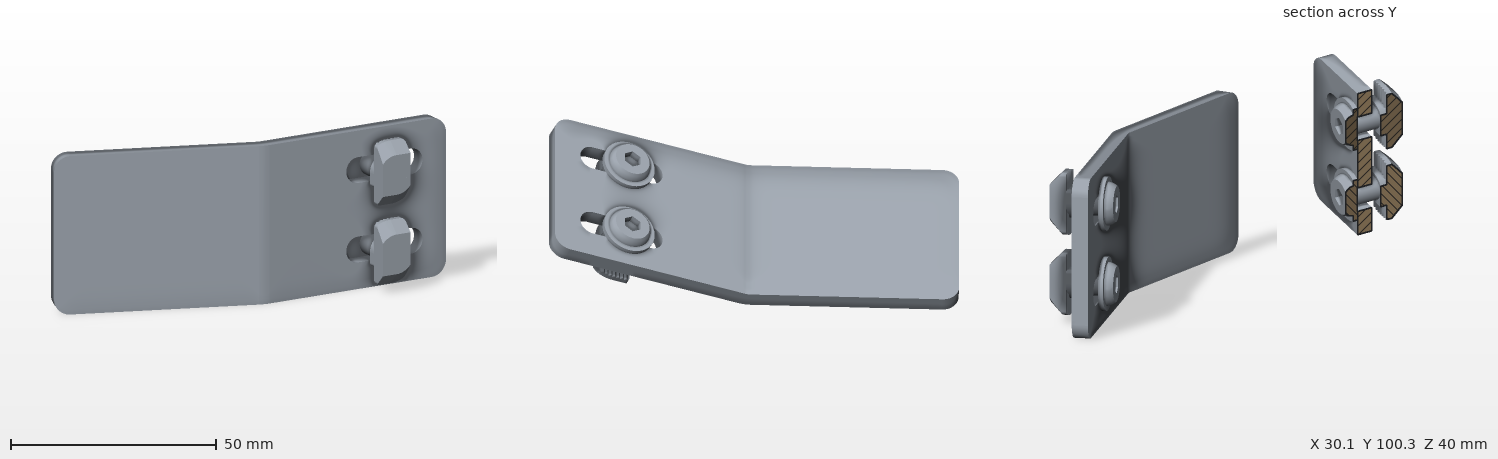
import cadquery as cq
import math


overall_length = 100.3
plate_height = 40.0
plate_thickness = 4.0
plate_corner_radius = 4.0
mounting_leg_length = 49.9
bend_angle = 20.0
bend_inner_radius = 4.0
bend_outer_radius = bend_inner_radius + plate_thickness
bend_sine = math.sin(math.radians(bend_angle))
bend_cosine = math.cos(math.radians(bend_angle))
slanted_leg_length = (overall_length - mounting_leg_length - bend_outer_radius * bend_sine) / bend_cosine

slot_width = 6.5
slot_travel = 15.0
slot_end_distance = 17.4
slot_y = mounting_leg_length - slot_end_distance

screw_spacing = 20.1
screw_heights = [-screw_spacing / 2, screw_spacing / 2]
screw_end_distance = 19.1
screw_y = mounting_leg_length - screw_end_distance

shank_diameter = 6.0
flange_diameter = 13.2
flange_thickness = 1.2
head_height = 3.3
dome_base_diameter = 10.7
dome_middle_diameter = 10.2
dome_top_diameter = 8.8
socket_width = 4.0
socket_depth = 2.0

nut_front = 6.4
nut_back = 12.5
wing_front = 7.9
nut_half_width = 3.9
wing_half_length = 8.0
neck_turning_radius = 4.2
wing_chamfer = 3.0
nut_edge_radius = 0.9
tooth_count = 7
tooth_pitch = 1.0
tooth_depth = 0.5


def bend_point(radius, angle):
    """Point in XY on the bend, at an angle turned from the mounting leg."""
    turn = math.radians(angle)
    return (radius * math.cos(turn) - bend_inner_radius, -radius * math.sin(turn))


def slanted_end_point(radius):
    """Point in XY where the face that follows this bend radius ends on the slanted leg."""
    x, y = bend_point(radius, bend_angle)
    return (x - slanted_leg_length * bend_sine, y - slanted_leg_length * bend_cosine)


def make_plate():
    plate = (
        cq.Workplane("XY", origin=(0, 0, -plate_height / 2))
        .moveTo(0, mounting_leg_length)
        .lineTo(0, 0)
        .threePointArc(
            bend_point(bend_inner_radius, bend_angle / 2), bend_point(bend_inner_radius, bend_angle)
        )
        .lineTo(*slanted_end_point(bend_inner_radius))
        .lineTo(*slanted_end_point(bend_outer_radius))
        .lineTo(*bend_point(bend_outer_radius, bend_angle))
        .threePointArc(bend_point(bend_outer_radius, bend_angle / 2), (plate_thickness, 0))
        .lineTo(plate_thickness, mounting_leg_length)
        .close()
        .extrude(plate_height)
    )
    slanted_direction = cq.Vector(-bend_sine, -bend_cosine, 0)
    slanted_end = plate.faces(cq.selectors.DirectionMinMaxSelector(slanted_direction))
    corner_edges = plate.faces(">Y").edges("|X").add(slanted_end.edges(">Z or <Z"))
    plate = plate.newObject(corner_edges.vals()).fillet(plate_corner_radius)
    slots = (
        cq.Workplane("YZ")
        .pushPoints([(slot_y, height) for height in screw_heights])
        .slot2D(slot_travel + slot_width, slot_width)
        .extrude(plate_thickness)
    )
    return plate.cut(slots)


def make_screw(height):
    """Screw along X, its flange resting on the front of the plate and its tip flush with the nut."""
    body = (
        cq.Workplane("XY")
        .moveTo(-head_height, 0)
        .lineTo(-head_height, dome_top_diameter / 2)
        .threePointArc(
            (-(head_height + flange_thickness) / 2, dome_middle_diameter / 2),
            (-flange_thickness, dome_base_diameter / 2),
        )
        .lineTo(-flange_thickness, flange_diameter / 2)
        .lineTo(0, flange_diameter / 2)
        .lineTo(0, shank_diameter / 2)
        .lineTo(nut_back, shank_diameter / 2)
        .lineTo(nut_back, 0)
        .close()
        .revolve(360, (0, 0, 0), (1, 0, 0))
    )
    socket = (
        cq.Workplane("YZ", origin=(-head_height, 0, 0))
        .polygon(6, socket_width, circumscribed=True)
        .extrude(socket_depth)
    )
    return body.cut(socket).translate((0, screw_y, height))


def wing_block():
    """Bar along Z with two opposite corners rounded about the screw axis and softened edges."""
    flat_end = math.sqrt(wing_half_length**2 - nut_half_width**2)
    middle_angle = (math.pi / 2 + math.atan2(flat_end, nut_half_width)) / 2
    arc_y = wing_half_length * math.cos(middle_angle)
    arc_z = wing_half_length * math.sin(middle_angle)
    block = (
        cq.Workplane("YZ", origin=(wing_front, 0, 0))
        .moveTo(0, wing_half_length)
        .lineTo(nut_half_width, wing_half_length)
        .lineTo(nut_half_width, -flat_end)
        .threePointArc((arc_y, -arc_z), (0, -wing_half_length))
        .lineTo(-nut_half_width, -wing_half_length)
        .lineTo(-nut_half_width, flat_end)
        .threePointArc((-arc_y, arc_z), (0, wing_half_length))
        .close()
        .extrude(nut_back - wing_front)
    )
    return block.edges("|X").edges("<Y or >Y").fillet(nut_edge_radius)


def corner_edge(y_side, z_side):
    """Selector for the edge along X at one corner of the neck."""
    middle = (nut_front + nut_back) / 2
    corner = (middle, y_side * nut_half_width, z_side * nut_half_width)
    return cq.selectors.NearestToPointSelector(corner)


def neck_block():
    """Square neck with two opposite corners rounded large, so that it can turn in its slot."""
    width = 2 * nut_half_width
    block = cq.Workplane("YZ", origin=(nut_front, 0, 0)).rect(width, width).extrude(nut_back - nut_front)
    for turning_corner in [(-1, 1), (1, -1)]:
        block = block.edges(corner_edge(*turning_corner)).fillet(neck_turning_radius)
    for square_corner in [(1, 1), (-1, -1)]:
        block = block.edges(corner_edge(*square_corner)).fillet(nut_edge_radius)
    return block


def wing_envelope():
    """Limits the wing ends: a cone at the rounded corners, a flat chamfer at the square ones."""
    outline = [
        (wing_front, 0),
        (wing_front, wing_half_length),
        (nut_back - wing_chamfer, wing_half_length),
        (nut_back, wing_half_length - wing_chamfer),
        (nut_back, 0),
    ]
    profile = cq.Workplane("XZ").polyline(outline).close()
    envelope = profile.revolve(360, (0, 0, 0), (1, 0, 0))
    square_corner = cq.Workplane("XZ").polyline(outline).close().extrude(-nut_half_width)
    opposite_corner = square_corner.rotate((0, 0, 0), (1, 0, 0), 180)
    return envelope.union(square_corner).union(opposite_corner)


def toothed_front():
    """Limits the wing front: a row of sharp teeth along Z between two narrow lands at root level."""
    half_row = tooth_count * tooth_pitch / 2
    root = wing_front + tooth_depth
    outline = [(nut_back, -nut_half_width), (root, -nut_half_width), (root, -half_row)]
    for index in range(tooth_count):
        tooth_start = index * tooth_pitch - half_row
        outline.append((wing_front, tooth_start + tooth_pitch / 2))
        outline.append((root, tooth_start + tooth_pitch))
    outline += [(root, nut_half_width), (nut_back, nut_half_width)]
    base = cq.Workplane("XY", origin=(0, 0, -wing_half_length))
    return base.polyline(outline).close().extrude(2 * wing_half_length)


def make_nut(height):
    wings = wing_block().intersect(wing_envelope()).intersect(toothed_front())
    neck = neck_block()
    bore = (
        cq.Workplane("YZ", origin=(nut_front, 0, 0))
        .circle(shank_diameter / 2)
        .extrude(nut_back - nut_front)
    )
    return wings.union(neck).cut(bore).translate((0, screw_y, height))


plate = make_plate()
screws = [make_screw(height) for height in screw_heights]
nuts = [make_nut(height) for height in screw_heights]

result = cq.Compound.makeCompound([body.solids().val() for body in [plate, *screws, *nuts]])